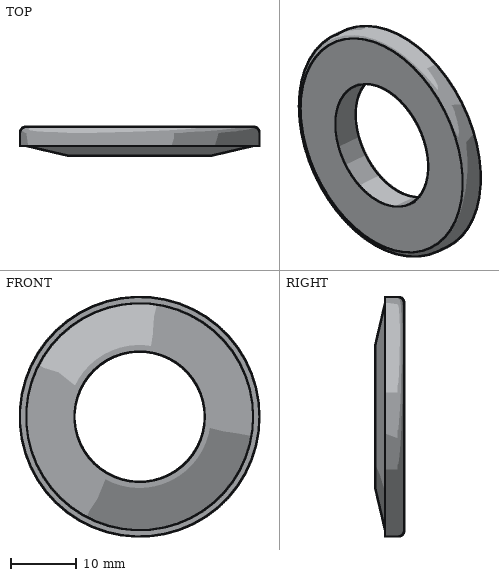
import cadquery as cq

outer_radius = 18.45
bore_radius = 10.0
total_depth = 4.5
rim_depth = 3.0
wall = 1.0

insert_radius = outer_radius - wall
lip_radius = bore_radius + wall

back_y = total_depth / 2
front_y = -total_depth / 2
rim_front_y = back_y - rim_depth


def revolve_about_y(profile):
    """Turn a closed radius-by-Y profile into a ring around the Y axis."""
    return profile.close().revolve(360, (0, 0, 0), (0, 1, 0))


def make_rim():
    """Outer ring whose back edge is rounded across its full width."""
    profile = (
        cq.Workplane("XY")
        .moveTo(insert_radius, back_y)
        .lineTo(insert_radius, rim_front_y)
        .lineTo(outer_radius, rim_front_y)
        .lineTo(outer_radius, back_y - wall)
        .radiusArc((insert_radius, back_y), -wall)
    )
    return revolve_about_y(profile)


def make_insert():
    """Inner ring with a conical front face and a flat lip around the bore."""
    profile = (
        cq.Workplane("XY")
        .moveTo(bore_radius, back_y)
        .lineTo(bore_radius, front_y)
        .lineTo(lip_radius, front_y)
        .lineTo(insert_radius, rim_front_y)
        .lineTo(insert_radius, back_y)
    )
    return revolve_about_y(profile)


rim = make_rim()
insert = make_insert()
result = cq.Compound.makeCompound([rim.val(), insert.val()])